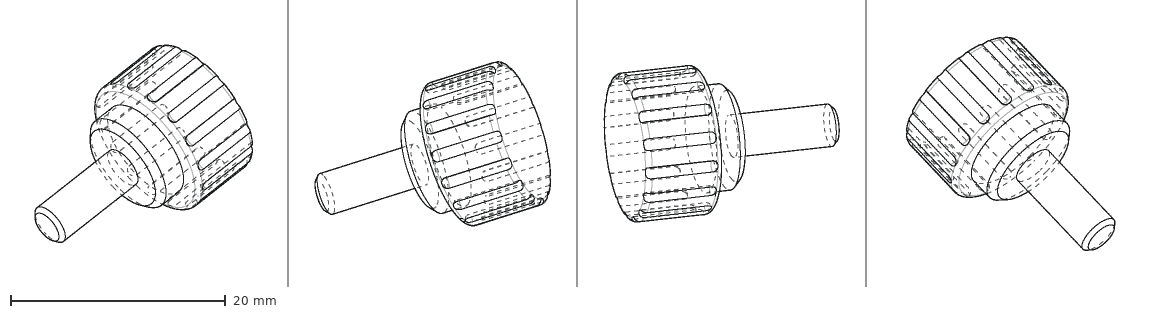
import cadquery as cq
import math


stud_radius = 4.0 / 2
stud_length = 10.0
stud_chamfer = 0.42

collar_radius = 10.0 / 2
collar_length = 3.0
collar_chamfer = 0.7

head_radius = 14.0 / 2
head_length = 8.0
head_round = 0.5
dome_height = 0.6

flute_count = 16
flute_radius = 0.55
nose_round = 0.5

stud_tip_y = -stud_length
head_base_y = collar_length
crown_y = head_base_y + head_length
head_rim_y = crown_y - dome_height
flute_tip_y = head_base_y + head_round

dome_edge_radius = head_radius - head_round
dome_radius = (dome_edge_radius**2 + dome_height**2) / (2 * dome_height)
dome_half_angle = math.asin(dome_edge_radius / dome_radius) / 2
dome_mid_point = (
    dome_radius * math.sin(dome_half_angle),
    crown_y - dome_radius * (1 - math.cos(dome_half_angle)),
)


def turned_body():
    """Stud, collar and head as one half profile revolved about Y."""
    return (
        cq.Workplane("XY")
        .moveTo(0, stud_tip_y)
        .lineTo(stud_radius - stud_chamfer, stud_tip_y)
        .lineTo(stud_radius, stud_tip_y + stud_chamfer)
        .lineTo(stud_radius, 0)
        .lineTo(collar_radius - collar_chamfer, 0)
        .lineTo(collar_radius, collar_chamfer)
        .lineTo(collar_radius, head_base_y)
        .lineTo(head_radius - head_round, head_base_y)
        .radiusArc((head_radius, head_base_y + head_round), -head_round)
        .lineTo(head_radius, head_rim_y - head_round)
        .radiusArc((dome_edge_radius, head_rim_y), -head_round)
        .threePointArc(dome_mid_point, (0, crown_y))
        .close()
        .revolve(360, (0, 0, 0), (0, 1, 0))
    )


def flute_cutter():
    """Round-nosed rod on the head surface, running from the lower end out past the crown."""
    profile = (
        cq.Workplane("XY")
        .moveTo(head_radius, flute_tip_y)
        .lineTo(head_radius + flute_radius - nose_round, flute_tip_y)
        .radiusArc((head_radius + flute_radius, flute_tip_y + nose_round), -nose_round)
        .lineTo(head_radius + flute_radius, crown_y)
        .lineTo(head_radius, crown_y)
        .close()
    )
    axis_start = (head_radius, 0, 0)
    axis_end = (head_radius, 1, 0)
    return profile.revolve(360, axis_start, axis_end)


def cut_flutes(body):
    """Cut the evenly spaced flutes around the head."""
    cutter = flute_cutter()
    for index in range(flute_count):
        angle = index * 360 / flute_count
        body = body.cut(cutter.rotate((0, 0, 0), (0, 1, 0), angle))
    return body


result = cut_flutes(turned_body())